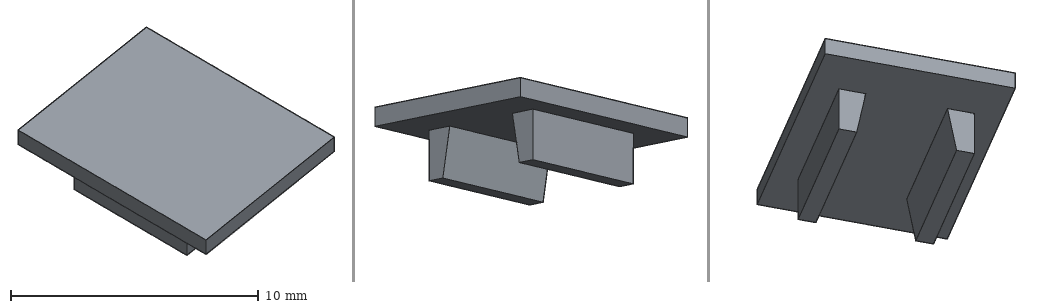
import cadquery as cq

plate_length = 10.0
plate_width = 8.0
plate_thickness = 0.8

overall_height = 2.9
leg_height = overall_height - plate_thickness
leg_length = 6.0
leg_outer_span = 5.7
leg_root_thickness = 1.13
leg_tip_thickness = 0.75


def make_plate():
    """Plate with its underside on Z = 0."""
    return cq.Workplane("XY").box(
        plate_length, plate_width, plate_thickness, centered=(True, True, False)
    )


def make_leg(side):
    """Leg on the +Y (side = 1) or -Y (side = -1) half, vertical outside and tapered inside."""
    outer = leg_outer_span / 2
    profile = [
        (side * outer, 0),
        (side * outer, -leg_height),
        (side * (outer - leg_tip_thickness), -leg_height),
        (side * (outer - leg_root_thickness), 0),
    ]
    return cq.Workplane("YZ").polyline(profile).close().extrude(leg_length / 2, both=True)


result = make_plate()
for side in (-1, 1):
    result = result.union(make_leg(side))